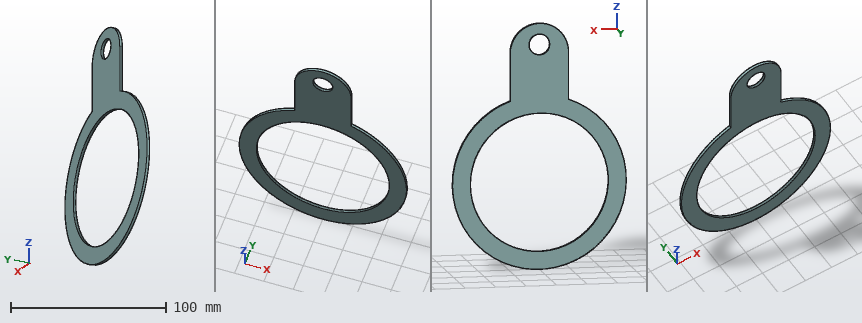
import cadquery as cq

ring_diameter = 114.0
bore_diameter = 90.5
thickness = 2.0
total_height = 161.0
tab_width = 38.3
hole_diameter = 13.5
hole_below_top = 13.8

tab_top = total_height - ring_diameter / 2
tab_radius = tab_width / 2
tab_arc_start = tab_top - tab_radius
hole_height = tab_top - hole_below_top


def plate(sketch):
    """Extrude an XZ outline to the plate thickness, centred on Y = 0."""
    return sketch.extrude(thickness / 2, both=True)


disc = plate(cq.Workplane("XZ").circle(ring_diameter / 2))
tab = plate(
    cq.Workplane("XZ")
    .moveTo(-tab_radius, 0)
    .lineTo(-tab_radius, tab_arc_start)
    .threePointArc((0, tab_top), (tab_radius, tab_arc_start))
    .lineTo(tab_radius, 0)
    .close()
)

bore = plate(cq.Workplane("XZ").circle(bore_diameter / 2))
hanging_hole = plate(cq.Workplane("XZ").center(0, hole_height).circle(hole_diameter / 2))

result = disc.union(tab).cut(bore).cut(hanging_hole)